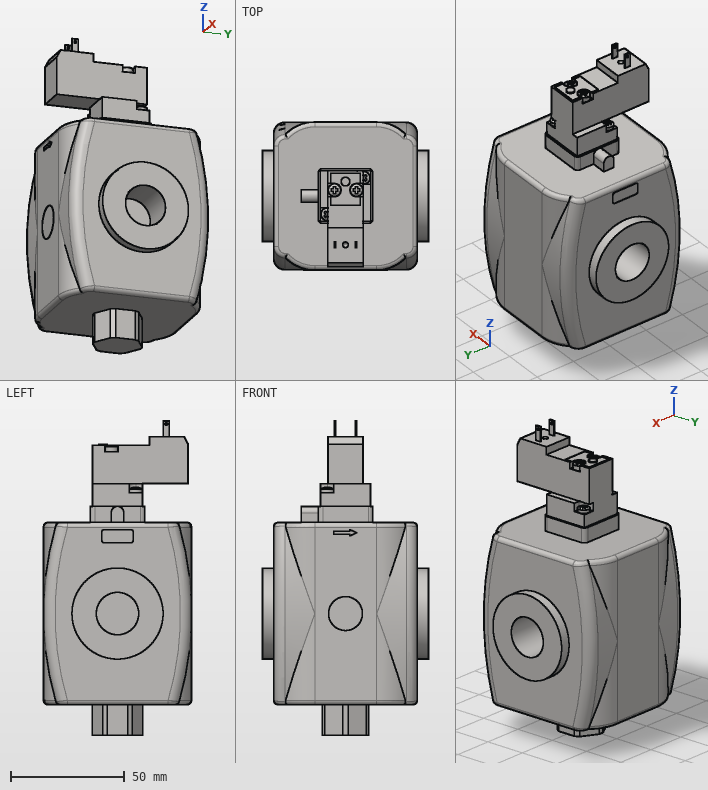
import cadquery as cq
import math


HOUSING_X = 63.0
HOUSING_Y = 65.0
HOUSING_Z = 80.0
SHOULDER_RADIUS = 18.0
BULGE_RADIUS = 140.0
CORNER_RADIUS = 5.0
RIM_RADIUS = 2.1
HOUSING_TOP = HOUSING_Z / 2

PORT_SPAN = 73.0
FLANGE_DIAMETER = 40.0
BORE_DIAMETER = 18.6
BORE_DEPTH = 20.0

HEX_FLATS = 20.4
HEX_CORNERS = 22.2
HEX_HEIGHT = 13.4

MARK_DEPTH = 0.1
DISC_DIAMETER = 14.9
BADGE_WIDTH = 13.8
BADGE_HEIGHT = 5.8
BADGE_RADIUS = 1.1
BADGE_Z = 34.0
ARROW_Z = 35.5
ARROW_TAIL_X = -5.2
ARROW_NECK_X = 2.0
ARROW_TIP_X = 4.8
ARROW_SHAFT_HALF = 0.7
ARROW_HEAD_HALF = 1.4

BASE_SIDE = 24.0
BASE_HEIGHT = 7.0
BASE_RADIUS = 2.0
STUB_WIDTH = 5.5
STUB_END_X = -19.5

BLOCK_SIDE = 22.1
BLOCK_HEIGHT = 10.0

COIL_WIDTH = 15.5
COIL_FRONT_Y = -31.0
COIL_HEIGHT = 17.0
HEAD_BACK_Y = -14.0
HEAD_HEIGHT = 3.7
HEAD_CHAMFER_Y = 1.8
HEAD_CHAMFER_Z = 3.5

LABEL_WIDTH = 13.0
LABEL_BACK_Y = 10.1
LABEL_FRONT_Y = -4.0
BUTTON_DIAMETER = 3.9
BUTTON_HEIGHT = 0.4
BUTTON_Y = 6.3

CONTACT_Y = -21.4
TERMINAL_X = 4.5
TERMINAL_THICKNESS = 0.7
TERMINAL_WIDTH = 2.8
TERMINAL_HEIGHT = 6.9
TERMINAL_EYE = 1.0
TERMINAL_EYE_DROP = 1.4
DIMPLE_DIAMETER = 2.5
DIMPLE_DEPTH = 1.7

BASE_TOP = HOUSING_TOP + BASE_HEIGHT
BLOCK_TOP = BASE_TOP + BLOCK_HEIGHT
COIL_TOP = BLOCK_TOP + COIL_HEIGHT
HEAD_TOP = COIL_TOP + HEAD_HEIGHT
COIL_BACK_Y = BLOCK_SIDE / 2

SCREW_DIAMETER = 5.5
SCREW_POCKET_WIDTH = 5.8
DOME_HEIGHT = 0.8
CROSS_LENGTH = 3.0
CROSS_WIDTH = 1.0
CROSS_DEPTH = 0.8

BLOCK_SCREW_OFFSET = 8.0
BLOCK_POCKET_DEPTH = 3.9
BLOCK_SCREW_RIM = 1.5
COIL_SCREW_X = 4.8
COIL_SCREW_Y = 2.6
COIL_POCKET_DEPTH = 3.0
COIL_SCREW_RIM = 2.2


def rim_rounded(body):
    return body.faces("|Z").edges().fillet(RIM_RADIUS)


def housing_core():
    core = cq.Workplane("XY").box(HOUSING_X, HOUSING_Y, HOUSING_Z)
    return rim_rounded(core.edges("|Z").fillet(SHOULDER_RADIUS))


def housing_barrel():
    half_y = HOUSING_Y / 2
    half_z = HOUSING_Z / 2
    sagitta = BULGE_RADIUS - math.sqrt(BULGE_RADIUS**2 - half_z**2)
    end_y = half_y - sagitta
    barrel = (
        cq.Workplane("YZ")
        .moveTo(end_y, -half_z)
        .threePointArc((half_y, 0), (end_y, half_z))
        .lineTo(-end_y, half_z)
        .threePointArc((-half_y, 0), (-end_y, -half_z))
        .close()
        .extrude(HOUSING_X / 2, both=True)
    )
    return rim_rounded(barrel.edges("%CIRCLE").fillet(CORNER_RADIUS))


def drain_spigot():
    def hexagon(across_flats):
        vertex_circle = across_flats / math.cos(math.pi / 6)
        return cq.Workplane("XY", origin=(0, 0, -HOUSING_TOP)).polygon(6, vertex_circle).extrude(-HEX_HEIGHT)

    flats = hexagon(HEX_FLATS).rotate((0, 0, 0), (0, 0, 1), 30)
    return flats.intersect(hexagon(HEX_CORNERS))


def badge_mark():
    return (
        cq.Workplane("XY")
        .box(2 * MARK_DEPTH, BADGE_WIDTH, BADGE_HEIGHT)
        .edges("|X")
        .fillet(BADGE_RADIUS)
        .translate((-HOUSING_X / 2, 0, BADGE_Z))
    )


def front_plane():
    return cq.Workplane("XZ", origin=(0, -HOUSING_Y / 2, 0))


def disc_mark():
    return front_plane().circle(DISC_DIAMETER / 2).extrude(-MARK_DEPTH)


def arrow_mark():
    upper = [
        (ARROW_TAIL_X, ARROW_SHAFT_HALF),
        (ARROW_NECK_X, ARROW_SHAFT_HALF),
        (ARROW_NECK_X, ARROW_HEAD_HALF),
    ]
    lower = [(x, -z) for x, z in reversed(upper)]
    outline = upper + [(ARROW_TIP_X, 0)] + lower
    return front_plane().center(0, ARROW_Z).polyline(outline).close().extrude(-MARK_DEPTH)


def make_housing():
    flanges = cq.Workplane("YZ").circle(FLANGE_DIAMETER / 2).extrude(PORT_SPAN / 2, both=True)
    housing = housing_core().union(housing_barrel()).union(flanges).union(drain_spigot())
    for side in (-1, 1):
        port = cq.Workplane("YZ", origin=(side * PORT_SPAN / 2, 0, 0))
        housing = housing.cut(port.circle(BORE_DIAMETER / 2).extrude(-side * BORE_DEPTH))
    return housing.cut(badge_mark()).cut(disc_mark()).cut(arrow_mark())


def valve_base():
    base = (
        cq.Workplane("XY", origin=(0, 0, HOUSING_TOP))
        .rect(BASE_SIDE, BASE_SIDE)
        .extrude(BASE_HEIGHT)
        .edges("|Z")
        .fillet(BASE_RADIUS)
    )
    half = STUB_WIDTH / 2
    spring_z = BASE_TOP - half
    stub = (
        cq.Workplane("YZ", origin=(STUB_END_X, 0, 0))
        .moveTo(-half, HOUSING_TOP)
        .lineTo(half, HOUSING_TOP)
        .lineTo(half, spring_z)
        .threePointArc((0, BASE_TOP), (-half, spring_z))
        .close()
        .extrude(-STUB_END_X)
    )
    return base.union(stub)


def block_pocket():
    """Corner pocket at +X +Y, open to both sides, with a rounded inner corner."""
    half = SCREW_POCKET_WIDTH / 2
    inner = BLOCK_SCREW_OFFSET - half
    reach = BLOCK_SIDE / 2 - inner
    return (
        cq.Workplane("XY", origin=(inner, inner, BLOCK_TOP))
        .rect(reach, reach, centered=False)
        .extrude(-BLOCK_POCKET_DEPTH)
        .edges("|Z and <X and <Y")
        .fillet(half)
    )


def valve_block():
    block = cq.Workplane("XY", origin=(0, 0, BASE_TOP)).rect(BLOCK_SIDE, BLOCK_SIDE).extrude(BLOCK_HEIGHT)
    for angle in (0, 180):
        block = block.cut(block_pocket().rotate((0, 0, 0), (0, 0, 1), angle))
    return block


def coil_pocket(side):
    """Pocket in the coil top around one screw, open to the nearer side."""
    pocket = cq.Workplane("XY", origin=(side * COIL_SCREW_X, COIL_SCREW_Y, COIL_TOP))
    reach = COIL_WIDTH / 2 - COIL_SCREW_X
    opening = pocket.center(side * reach / 2, 0).rect(reach, SCREW_POCKET_WIDTH).extrude(-COIL_POCKET_DEPTH)
    return pocket.circle(SCREW_POCKET_WIDTH / 2).extrude(-COIL_POCKET_DEPTH).union(opening)


def coil_blank():
    return (
        cq.Workplane("YZ")
        .moveTo(COIL_BACK_Y, BLOCK_TOP)
        .lineTo(COIL_BACK_Y, COIL_TOP)
        .lineTo(HEAD_BACK_Y, COIL_TOP)
        .lineTo(HEAD_BACK_Y, HEAD_TOP)
        .lineTo(COIL_FRONT_Y + HEAD_CHAMFER_Y, HEAD_TOP)
        .lineTo(COIL_FRONT_Y, HEAD_TOP - HEAD_CHAMFER_Z)
        .lineTo(COIL_FRONT_Y, BLOCK_TOP)
        .close()
        .extrude(COIL_WIDTH / 2, both=True)
    )


def terminal(side):
    blade = cq.Workplane("XY", origin=(side * TERMINAL_X, CONTACT_Y, HEAD_TOP))
    blade = blade.rect(TERMINAL_THICKNESS, TERMINAL_WIDTH).extrude(TERMINAL_HEIGHT)
    eye_z = HEAD_TOP + TERMINAL_HEIGHT - TERMINAL_EYE_DROP
    eye = cq.Workplane("YZ", origin=(side * TERMINAL_X, CONTACT_Y, eye_z))
    return blade.cut(eye.circle(TERMINAL_EYE / 2).extrude(TERMINAL_THICKNESS, both=True))


def valve_coil():
    label_middle_y = (LABEL_BACK_Y + LABEL_FRONT_Y) / 2
    label = cq.Workplane("XY", origin=(0, label_middle_y, COIL_TOP))
    label = label.rect(LABEL_WIDTH, LABEL_BACK_Y - LABEL_FRONT_Y).extrude(-MARK_DEPTH)
    button = cq.Workplane("XY", origin=(0, BUTTON_Y, COIL_TOP - MARK_DEPTH))
    button = button.circle(BUTTON_DIAMETER / 2).extrude(MARK_DEPTH + BUTTON_HEIGHT)
    dimple = cq.Workplane(cq.Solid.makeCone(
        DIMPLE_DIAMETER / 2, 0, DIMPLE_DEPTH, pnt=(0, CONTACT_Y, HEAD_TOP), dir=(0, 0, -1)
    ))

    coil = coil_blank().cut(label).union(button).cut(dimple)
    for side in (-1, 1):
        coil = coil.cut(coil_pocket(side)).union(terminal(side))
    return coil


def make_valve():
    return valve_base().union(valve_block()).union(valve_coil())


def make_screw(rim_height):
    """Domed cross-recessed screw head standing on the origin."""
    radius = SCREW_DIAMETER / 2
    top = rim_height + DOME_HEIGHT
    dome_radius = (radius**2 + DOME_HEIGHT**2) / (2 * DOME_HEIGHT)
    mid_x = radius / 2
    mid_z = top - dome_radius + math.sqrt(dome_radius**2 - mid_x**2)
    head = (
        cq.Workplane("XZ")
        .lineTo(radius, 0)
        .lineTo(radius, rim_height)
        .threePointArc((mid_x, mid_z), (0, top))
        .close()
        .revolve(360, (0, 0), (0, 1))
    )
    recess = cq.Workplane("XY", origin=(0, 0, top))
    for length, width in ((CROSS_LENGTH, CROSS_WIDTH), (CROSS_WIDTH, CROSS_LENGTH)):
        head = head.cut(recess.rect(length, width).extrude(-CROSS_DEPTH))
    return head


housing = make_housing()
valve = make_valve()

screws = []
for side in (-1, 1):
    block_screw = make_screw(BLOCK_SCREW_RIM).rotate((0, 0, 0), (0, 0, 1), 45)
    block_screw_place = (side * BLOCK_SCREW_OFFSET, side * BLOCK_SCREW_OFFSET, BLOCK_TOP - BLOCK_POCKET_DEPTH)
    screws.append(block_screw.translate(block_screw_place))

    coil_screw_place = (side * COIL_SCREW_X, COIL_SCREW_Y, COIL_TOP - COIL_POCKET_DEPTH)
    screws.append(make_screw(COIL_SCREW_RIM).translate(coil_screw_place))

result = cq.Compound.makeCompound([housing.val(), valve.val(), *[screw.val() for screw in screws]])